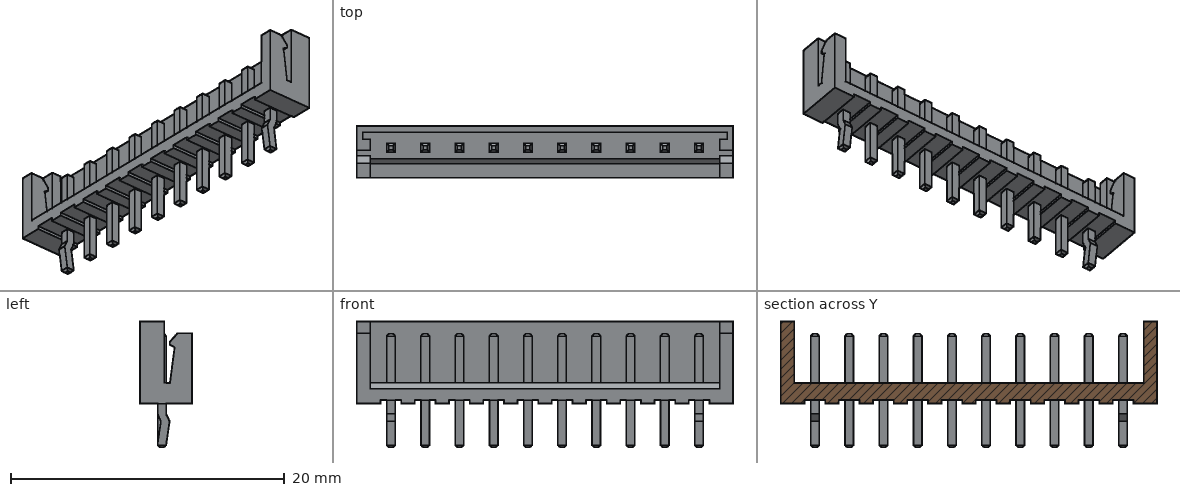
import cadquery as cq


PIN_COUNT = 10
PITCH = 2.5
PIN_SIZE = 0.64
PIN_TIP_CHAMFER = 0.17
PIN_TIP_TAPER = 45
PIN_TOP = 5.1
PIN_BOTTOM = -3.2

KINK_START = -0.75
KINK_PEAK = -1.3
KINK_OFFSET = 0.25

END_MARGIN = 2.5
LENGTH = (PIN_COUNT - 1) * PITCH + 2 * END_MARGIN
DEPTH = 3.8
HEIGHT = 6.0
BACK_TO_PINS = 1.6
Y_BACK = BACK_TO_PINS
Y_FRONT = Y_BACK - DEPTH

BACK_WALL = 0.47
END_WALL = 1.0
FLOOR = 1.5
FRONT_FLOOR = 1.08
FLOOR_BEVEL_BACK = Y_BACK - 2.4
FLOOR_BEVEL_FRONT = Y_BACK - 2.78

RECESS_DEPTH = 0.55
RECESS_WIDTH = 0.5

SLOT_BACK = Y_BACK - 1.78
SLOT_BOTTOM_WIDTH = 0.4
HOOK_HEIGHT = 5.15
HOOK_TOP_DEPTH = 1.05
HOOK_TIP_Y = Y_BACK - 2.17
HOOK_TIP_TOP = 4.5
HOOK_TIP_BOTTOM = 4.3
HOOK_NECK_Y = Y_BACK - 2.52
HOOK_NECK_Z = 4.1

NOTCH_WIDTH = 1.5
NOTCH_HEIGHT = 0.25


def extrude_along_x(points, x_start, width):
    """Closed (Y, Z) outline extruded in +X from x_start."""
    return cq.Workplane("YZ", origin=(x_start, 0, 0)).polyline(points).close().extrude(width)


def box_between(x_range, y_range, z_range):
    """Axis-aligned box given by its limits on each axis."""
    size = [high - low for low, high in (x_range, y_range, z_range)]
    corner = (x_range[0], y_range[0], z_range[0])
    return cq.Workplane("XY").box(*size, centered=False).translate(corner)


def make_trough():
    """Full-length back wall and floor; the floor drops to a lower lip at the front."""
    outline = [
        (Y_BACK, 0),
        (Y_BACK, HEIGHT),
        (Y_BACK - BACK_WALL, HEIGHT),
        (Y_BACK - BACK_WALL, FLOOR),
        (FLOOR_BEVEL_BACK, FLOOR),
        (FLOOR_BEVEL_FRONT, FRONT_FLOOR),
        (Y_FRONT, FRONT_FLOOR),
        (Y_FRONT, 0),
    ]
    return extrude_along_x(outline, -LENGTH / 2, LENGTH)


def make_end_wall(x_start):
    """End wall split by a slot into a tall rear post and a hooked front post."""
    outline = [
        (Y_BACK, 0),
        (Y_BACK, HEIGHT),
        (SLOT_BACK, HEIGHT),
        (SLOT_BACK, FLOOR),
        (SLOT_BACK - SLOT_BOTTOM_WIDTH, FLOOR),
        (HOOK_NECK_Y, HOOK_NECK_Z),
        (HOOK_TIP_Y, HOOK_TIP_BOTTOM),
        (HOOK_TIP_Y, HOOK_TIP_TOP),
        (Y_FRONT + HOOK_TOP_DEPTH, HOOK_HEIGHT),
        (Y_FRONT, HOOK_HEIGHT),
        (Y_FRONT, 0),
    ]
    return extrude_along_x(outline, x_start, END_WALL)


def make_corner_recesses():
    """Cutter that widens the cavity into both end walls just in front of the back wall."""
    half_span = LENGTH / 2 - END_WALL + RECESS_DEPTH
    y_wall = Y_BACK - BACK_WALL
    return box_between((-half_span, half_span), (y_wall - RECESS_WIDTH, y_wall), (FLOOR, HEIGHT))


def make_notch(x):
    """Cutter for the clearance notch under the housing at one pin."""
    half_width = NOTCH_WIDTH / 2
    return box_between((x - half_width, x + half_width), (Y_FRONT, Y_BACK), (0, NOTCH_HEIGHT))


def make_pin(x, kinked):
    """Square pin with chamfered tips; a kinked leg bows towards the front below the housing."""
    half = PIN_SIZE / 2
    shoulder = PIN_BOTTOM + PIN_TIP_CHAMFER
    outline = [(-half, PIN_BOTTOM), (half, PIN_BOTTOM)]
    if kinked:
        outline += [(half, shoulder), (half - KINK_OFFSET, KINK_PEAK), (half, KINK_START)]
    outline += [(half, PIN_TOP), (-half, PIN_TOP)]
    if kinked:
        outline += [(-half, KINK_START), (-half - KINK_OFFSET, KINK_PEAK), (-half, shoulder)]
    pin = extrude_along_x(outline, x - half, PIN_SIZE)
    return pin.intersect(make_tip_envelope(x))


def make_tip_envelope(x):
    """Block around a pin, oversized for the kink, whose tapered ends shape the four-sided tips."""
    half = PIN_SIZE / 2
    top_shoulder = PIN_TOP - PIN_TIP_CHAMFER
    bottom_shoulder = PIN_BOTTOM + PIN_TIP_CHAMFER
    clearance = half + KINK_OFFSET
    middle = box_between((x - half, x + half), (-clearance, clearance), (bottom_shoulder, top_shoulder))
    square = cq.Workplane("XY").rect(PIN_SIZE, PIN_SIZE)
    tip = square.extrude(PIN_TIP_CHAMFER, taper=PIN_TIP_TAPER)
    top_tip = tip.translate((x, 0, top_shoulder))
    bottom_tip = tip.mirror("XY").translate((x, 0, bottom_shoulder))
    return middle.union(top_tip).union(bottom_tip)


housing = make_trough()
for x_start in (-LENGTH / 2, LENGTH / 2 - END_WALL):
    housing = housing.union(make_end_wall(x_start))
housing = housing.cut(make_corner_recesses())

pin_positions = [(i - (PIN_COUNT - 1) / 2) * PITCH for i in range(PIN_COUNT)]
for x in pin_positions:
    housing = housing.cut(make_notch(x))

result = housing
for x in pin_positions:
    is_outer = x in (pin_positions[0], pin_positions[-1])
    result = result.union(make_pin(x, is_outer))